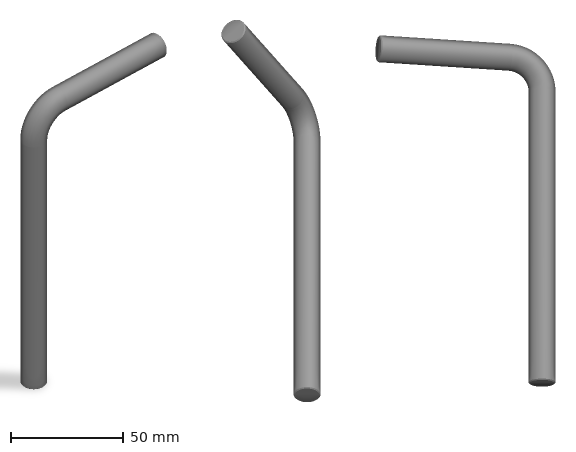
import cadquery as cq

height = 156.0
reach = 81.0
diameter = 12.0

bend_radius = 15.0
end_chamfer = 0.5

radius = diameter / 2
upright_length = height - radius - bend_radius
arm_length = reach - radius - bend_radius


def straight_rod(length):
    """Round rod standing on the XY plane, chamfered at its free lower end."""
    return (
        cq.Workplane("XY")
        .circle(radius)
        .extrude(length)
        .faces("<Z")
        .chamfer(end_chamfer)
    )


upright = straight_rod(upright_length)

bend = (
    cq.Workplane("XY", origin=(0, 0, upright_length))
    .circle(radius)
    .revolve(90, (0, bend_radius, 0), (-1, bend_radius, 0))
)

arm = (
    straight_rod(arm_length)
    .rotate((0, 0, 0), (1, 0, 0), 90)
    .translate((0, bend_radius + arm_length, upright_length + bend_radius))
)

result = upright.union(bend).union(arm)